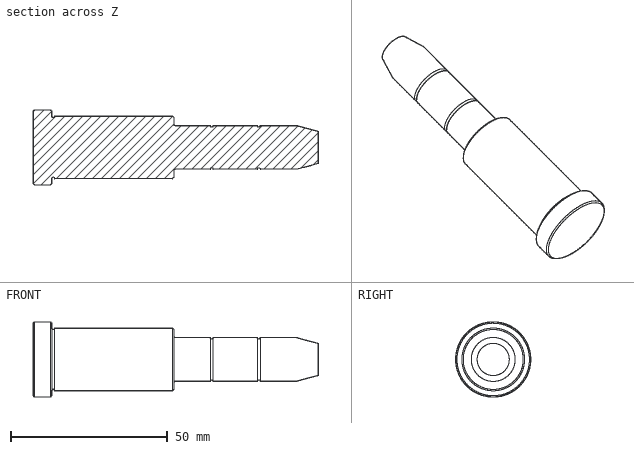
import cadquery as cq
import math

total_length = 91.0
flange_length = 6.0
shoulder_position = 44.95
taper_length = 7.0

flange_diameter = 24.0
body_diameter = 20.0
pin_diameter = 14.0

flange_chamfer = 0.5
shoulder_chamfer = 0.5
taper_angle = 15.0
pin_root_fillet = 0.5

groove_radius = 0.5
first_pin_groove = 57.0
pin_groove_spacing = 15.0
pin_groove_count = 2

flange_radius = flange_diameter / 2
body_radius = body_diameter / 2
pin_radius = pin_diameter / 2
taper_start = total_length - taper_length
tip_radius = pin_radius - taper_length * math.tan(math.radians(taper_angle))


def cylinder(start, end, radius):
    """Cylinder on the X axis."""
    return cq.Workplane("YZ", origin=(start, 0, 0)).circle(radius).extrude(end - start)


def ring_groove(position, shaft_radius):
    """Ring of round section, centred on the surface of a shaft."""
    return (
        cq.Workplane("XY")
        .center(position, shaft_radius)
        .circle(groove_radius)
        .revolve(360, (0, -shaft_radius), (1, -shaft_radius))
    )


flange = cylinder(0, flange_length, flange_radius).edges().chamfer(flange_chamfer)

body = cylinder(flange_length, shoulder_position, body_radius)
body = body.faces(">X").edges().chamfer(shoulder_chamfer)

pin_root = shoulder_position + pin_root_fillet
pin = (
    cq.Workplane("XY")
    .moveTo(shoulder_position, 0)
    .lineTo(shoulder_position, pin_radius + pin_root_fillet)
    .radiusArc((pin_root, pin_radius), -pin_root_fillet)
    .lineTo(taper_start, pin_radius)
    .lineTo(total_length, tip_radius)
    .lineTo(total_length, 0)
    .close()
    .revolve(360, (0, 0), (1, 0))
)

result = flange.union(body).union(pin)

result = result.cut(ring_groove(flange_length + groove_radius, body_radius))

for index in range(pin_groove_count):
    result = result.cut(ring_groove(first_pin_groove + index * pin_groove_spacing, pin_radius))